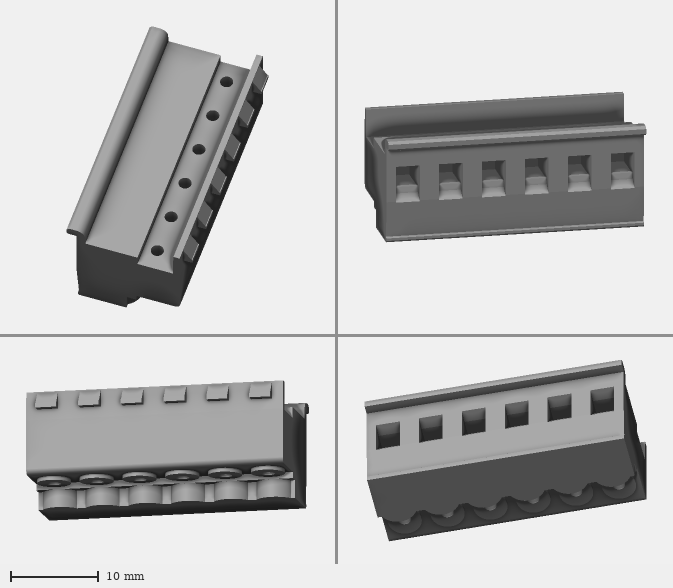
import cadquery as cq

LENGTH = 30.0
DEPTH = 14.7
HEIGHT = 12.35

POLES = 6
PITCH = LENGTH / POLES

FRONT_X = 1.2
LIP_HEIGHT = 1.02
LIP_WALL_DRAFT = 0.03
LIP_CHAMFER_X = 0.35
LIP_CHAMFER_Z = 0.27
UPPER_DECK_Z = 10.32
LOWER_DECK_Z = 9.1
DECK_STEP_X = 8.52
REAR_X = 13.65
REAR_WALL = 0.87
WALL_DRAFT = 0.05
REAR_FILLET = 0.6
UNDERSIDE_Z = 2.8
FOOT_REAR_X = 8.35
DRAFT_TOP_Z = 4.85
DRAFT_END_X = 1.5
BEAD_X = 1.35
BEAD_TOP_Z = 0.65
BEAD_FACE_TOP_Z = 0.48

LOWER_CHAMFER_X = 0.12
LOWER_CHAMFER_Z = 0.18

RELIEF_X = 7.2
RELIEF_HEIGHT = 2.07
LOBE_RADIUS = 2.3

HOLE_X = 10.08
HOLE_DIAMETER = 1.5
PAD_RADIUS = 1.95
PAD_X = FOOT_REAR_X + PAD_RADIUS
PAD_HEIGHT = 0.45

ENTRY_WIDTH = 2.75
ENTRY_TOP_Z = 9.03
ENTRY_INNER_TOP_Z = 8.73
LEAD_IN_END_X = 2.58
ENTRY_BOTTOM_Z = 4.75
RAMP_END_X = 1.9
RAMP_END_Z = 5.13
CURVE_END_X = 2.22
CURVE_END_Z = 5.52
CURVE_RADIUS = 0.9
SILL_X = 2.37
SILL_Z = 6.25
SILL_END_X = 2.95
SILL_DROP = 0.15
ENTRY_END_X = 7.2

LATCH_WIDTH = 2.43
LATCH_TOP_DROP = 0.12
LATCH_START_Z = HEIGHT - LATCH_TOP_DROP
LATCH_TIP_Z = 10.83
LATCH_TIP_CHAMFER = 0.1


def pole_centers():
    return [(i + 0.5) * PITCH for i in range(POLES)]


def extrude_along_y(profile, start, width):
    """Extrude a closed XZ profile from Y = start towards +Y."""
    return profile.extrude(-width).translate((0, start, 0))


def make_body():
    lip_inner_x = FRONT_X + LIP_HEIGHT
    lip_bottom_z = HEIGHT - LIP_HEIGHT
    wall_inner_x = REAR_X - REAR_WALL
    profile = (
        cq.Workplane("XZ")
        .moveTo(LIP_CHAMFER_X, HEIGHT)
        .lineTo(FRONT_X, HEIGHT)
        .radiusArc((lip_inner_x, lip_bottom_z), LIP_HEIGHT)
        .lineTo(lip_inner_x + LIP_WALL_DRAFT, UPPER_DECK_Z)
        .lineTo(DECK_STEP_X, UPPER_DECK_Z)
        .lineTo(DECK_STEP_X, LOWER_DECK_Z)
        .lineTo(wall_inner_x, LOWER_DECK_Z)
        .lineTo(wall_inner_x + WALL_DRAFT, HEIGHT)
        .lineTo(REAR_X - WALL_DRAFT, HEIGHT)
        .lineTo(REAR_X, LOWER_DECK_Z)
        .lineTo(REAR_X, UNDERSIDE_Z + REAR_FILLET)
        .radiusArc((REAR_X - REAR_FILLET, UNDERSIDE_Z), REAR_FILLET)
        .lineTo(FOOT_REAR_X, UNDERSIDE_Z)
        .lineTo(FOOT_REAR_X, 0)
        .lineTo(BEAD_X + LOWER_CHAMFER_X, 0)
        .lineTo(BEAD_X, LOWER_CHAMFER_Z)
        .lineTo(BEAD_X, BEAD_FACE_TOP_Z)
        .lineTo(DRAFT_END_X, BEAD_TOP_Z)
        .lineTo(FRONT_X, DRAFT_TOP_Z)
        .lineTo(FRONT_X, lip_bottom_z)
        .lineTo(LOWER_CHAMFER_X, lip_bottom_z)
        .lineTo(0, lip_bottom_z + LOWER_CHAMFER_Z)
        .lineTo(0, HEIGHT - LIP_CHAMFER_Z)
        .close()
    )
    return extrude_along_y(profile, 0, LENGTH)


def make_relief():
    """Strip behind the foot, minus the lobes that stay standing."""
    width = FOOT_REAR_X - RELIEF_X
    strip = (
        cq.Workplane("XY")
        .box(width, LENGTH, RELIEF_HEIGHT, centered=False)
        .translate((RELIEF_X, 0, 0))
    )
    lobes = (
        cq.Workplane("XY")
        .pushPoints([(FOOT_REAR_X - LOBE_RADIUS, y) for y in pole_centers()])
        .circle(LOBE_RADIUS)
        .extrude(RELIEF_HEIGHT)
    )
    return strip.cut(lobes)


def make_pads():
    return (
        cq.Workplane("XY")
        .workplane(offset=UNDERSIDE_Z - PAD_HEIGHT)
        .pushPoints([(PAD_X, y) for y in pole_centers()])
        .circle(PAD_RADIUS)
        .extrude(PAD_HEIGHT)
    )


def make_holes():
    return (
        cq.Workplane("XY")
        .pushPoints([(HOLE_X, y) for y in pole_centers()])
        .circle(HOLE_DIAMETER / 2)
        .extrude(LOWER_DECK_Z)
    )


def make_entry(y):
    """Wire entry: ramp, concave curve and sill below, sloped lead-in above."""
    profile = (
        cq.Workplane("XZ")
        .moveTo(0, ENTRY_BOTTOM_Z)
        .lineTo(FRONT_X, ENTRY_BOTTOM_Z)
        .lineTo(RAMP_END_X, RAMP_END_Z)
        .radiusArc((CURVE_END_X, CURVE_END_Z), -CURVE_RADIUS)
        .lineTo(SILL_X, SILL_Z)
        .lineTo(SILL_END_X, SILL_Z)
        .lineTo(SILL_END_X, SILL_Z - SILL_DROP)
        .lineTo(ENTRY_END_X, SILL_Z - SILL_DROP)
        .lineTo(ENTRY_END_X, ENTRY_INNER_TOP_Z)
        .lineTo(LEAD_IN_END_X, ENTRY_INNER_TOP_Z)
        .lineTo(FRONT_X, ENTRY_TOP_Z)
        .lineTo(0, ENTRY_TOP_Z)
        .close()
    )
    return extrude_along_y(profile, y - ENTRY_WIDTH / 2, ENTRY_WIDTH)


def make_latch(y):
    root_x = REAR_X - REAR_WALL / 2
    profile = (
        cq.Workplane("XZ")
        .moveTo(root_x, UPPER_DECK_Z)
        .lineTo(DEPTH, UPPER_DECK_Z)
        .lineTo(DEPTH, LATCH_TIP_Z)
        .lineTo(DEPTH - LATCH_TIP_CHAMFER, LATCH_TIP_Z)
        .lineTo(REAR_X - WALL_DRAFT, LATCH_START_Z)
        .lineTo(root_x, LATCH_START_Z)
        .close()
    )
    return extrude_along_y(profile, y - LATCH_WIDTH / 2, LATCH_WIDTH)


result = make_body().cut(make_relief()).union(make_pads()).cut(make_holes())
for pole_y in pole_centers():
    result = result.cut(make_entry(pole_y)).union(make_latch(pole_y))